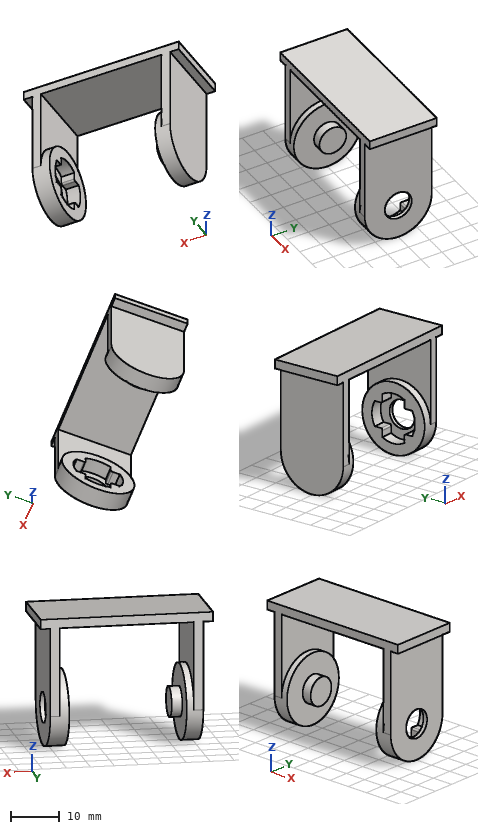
import cadquery as cq


plate_length = 36.0
plate_thickness = 2.0
plate_top = 20.5
plate_underside = plate_top - plate_thickness

leg_width = 16.0
leg_thickness = 2.0
plate_overhang = 2.0
leg_outer_x = plate_length / 2 - plate_overhang

boss_diameter = leg_width
left_boss_thickness = 3.5
right_boss_thickness = 4.0

pin_diameter = 6.4
pin_length = 2.2

pocket_diameter = 11.0
pocket_depth = 3.0
slot_width = 5.6
tooth_tip_radius = 0.4
through_hole_diameter = 6.4


def cylinder_along_x(diameter, start_x, length):
    """Cylinder on the X axis, growing in +X from start_x."""
    return cq.Workplane("YZ", origin=(start_x, 0, 0)).circle(diameter / 2).extrude(length)


def make_plate():
    return (
        cq.Workplane("XY", origin=(0, 0, plate_underside))
        .rect(plate_length, leg_width)
        .extrude(plate_thickness)
    )


def make_leg(start_x, boss_start_x, boss_thickness):
    """Flat leg hanging from the plate, ending in a round boss."""
    flat = cq.Workplane("XY", origin=(start_x, 0, 0)).box(
        leg_thickness, leg_width, plate_underside, centered=(False, True, False)
    )
    return flat.union(cylinder_along_x(boss_diameter, boss_start_x, boss_thickness))


def make_socket():
    """Cutter for the toothed pocket and the smaller hole behind it."""
    face_x = leg_outer_x - right_boss_thickness
    slot = cq.Workplane("YZ", origin=(face_x, 0, 0)).rect(pocket_diameter, slot_width).extrude(pocket_depth)
    cross = slot.union(slot.rotate((0, 0, 0), (1, 0, 0), 90))
    tip_offset = slot_width / 2 + tooth_tip_radius
    tip_region = cq.selectors.BoxSelector(
        (face_x, -tip_offset, -tip_offset),
        (face_x + pocket_depth, tip_offset, tip_offset),
    )
    cross = cross.edges("|X").edges(tip_region).fillet(tooth_tip_radius)
    pocket = cylinder_along_x(pocket_diameter, face_x, pocket_depth).intersect(cross)
    return pocket.union(cylinder_along_x(through_hole_diameter, face_x, right_boss_thickness))


left_leg = make_leg(-leg_outer_x, -leg_outer_x, left_boss_thickness)
right_leg = make_leg(
    leg_outer_x - leg_thickness, leg_outer_x - right_boss_thickness, right_boss_thickness
)
pin = cylinder_along_x(pin_diameter, -leg_outer_x + left_boss_thickness, pin_length)

result = make_plate().union(left_leg).union(right_leg).union(pin).cut(make_socket())